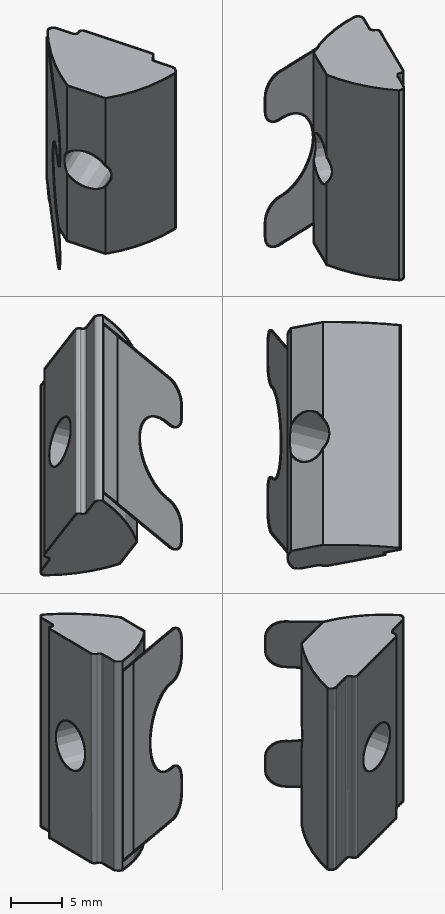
import cadquery as cq
import math

length = 22.0
half_width = 6.75
depth = 7.24
rib_half_width = 3.94
rib_height = 0.81
rib_radius = 0.4
shoulder_radius = 0.62
nose_half_width = 2.02
flank_start = 1.45
flank_radius = 15.85
hole_diameter = 5.0

plate_angle = math.radians(60.0)
plate_length = 13.0
plate_height = 20.02
plate_thickness = 0.077
lobe_radius = 2.0
notch_radius = 4.49
notch_inset = 2.46


def make_body():
    """Extrude the T-shaped section with bowed flanks and a rounded rib."""
    body = (
        cq.Workplane("XY")
        .workplane(offset=-length / 2)
        .moveTo(-nose_half_width, -depth)
        .lineTo(nose_half_width, -depth)
        .radiusArc((half_width, -flank_start), -flank_radius)
        .lineTo(half_width, -rib_height)
        .lineTo(rib_half_width, -rib_height)
        .lineTo(rib_half_width, 0)
        .lineTo(-rib_half_width, 0)
        .lineTo(-rib_half_width, -rib_height)
        .lineTo(-half_width, -rib_height)
        .lineTo(-half_width, -flank_start)
        .radiusArc((-nose_half_width, -depth), -flank_radius)
        .close()
        .extrude(length)
    )
    for side in (-1, 1):
        for x, y, radius in (
            (rib_half_width, 0, rib_radius),
            (rib_half_width, -rib_height, rib_radius),
            (half_width, -rib_height, shoulder_radius),
        ):
            corner = cq.selectors.NearestToPointSelector((side * x, y, 0))
            body = body.edges(corner).fillet(radius)
    return body


def make_plate():
    """Thin plate with a round notch between two rounded lobes."""
    along_x = math.cos(plate_angle)
    along_y = -math.sin(plate_angle)
    plane = cq.Plane(
        origin=(-half_width, -flank_start, 0),
        xDir=(along_x, along_y, 0),
        normal=(along_y, -along_x, 0),
    )
    half_height = plate_height / 2
    notch_x = plate_length - notch_inset
    return (
        cq.Workplane(plane)
        .moveTo(0, -half_height)
        .lineTo(plate_length, -half_height)
        .lineTo(plate_length, -notch_radius)
        .lineTo(notch_x, -notch_radius)
        .threePointArc((notch_x - notch_radius, 0), (notch_x, notch_radius))
        .lineTo(plate_length, notch_radius)
        .lineTo(plate_length, half_height)
        .lineTo(0, half_height)
        .close()
        .extrude(plate_thickness)
        .edges(cq.selectors.ParallelDirSelector(plane.zDir))
        .edges("<Y")
        .fillet(lobe_radius)
    )


hole = cq.Workplane("XZ").circle(hole_diameter / 2).extrude(depth)
result = make_body().union(make_plate()).cut(hole)